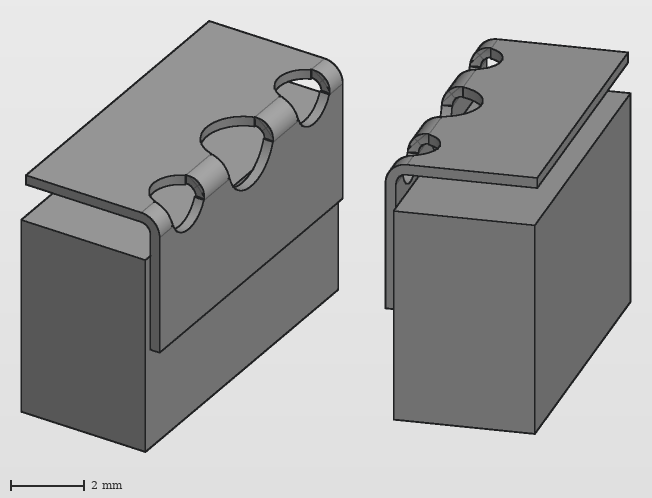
import cadquery as cq

body_depth = 4.0
body_length = 10.0
body_height = 6.15

sheet_top = 7.45
sheet_thickness = 0.3
sheet_width = 9.5
bend_outer_radius = 0.6
leg_height = 4.3

centre_relief_radius = 1.17
side_relief_radius = 0.86
side_relief_offset = 3.25
relief_axis_shift = 0.04

sheet_outer_x = body_depth + sheet_thickness
sheet_underside = sheet_top - sheet_thickness
bend_inner_radius = bend_outer_radius - sheet_thickness


def make_body():
    return cq.Workplane("XY").box(
        body_depth, body_length, body_height, centered=(False, True, False)
    )


def make_sheet():
    """L-shaped strip centred along Y, with concentric inner and outer bend radii."""
    leg_bottom = sheet_top - leg_height
    strip = (
        cq.Workplane("XZ")
        .moveTo(0, sheet_top)
        .lineTo(sheet_outer_x, sheet_top)
        .lineTo(sheet_outer_x, leg_bottom)
        .lineTo(body_depth, leg_bottom)
        .lineTo(body_depth, sheet_underside)
        .lineTo(0, sheet_underside)
        .close()
        .extrude(sheet_width / 2, both=True)
    )
    strip = strip.edges("|Y and >X and >Z").fillet(bend_outer_radius)
    inner_corner = cq.selectors.NearestToPointSelector((body_depth, 0, sheet_underside))
    return strip.edges("|Y").edges(inner_corner).fillet(bend_inner_radius)


def make_relief(y, radius):
    """Two crossing cylinders: one down through the top leg, one through the vertical leg."""
    bend_centre_x = body_depth - bend_inner_radius
    bend_centre_z = sheet_underside - bend_inner_radius
    axis_x = body_depth + relief_axis_shift
    axis_z = sheet_underside + relief_axis_shift
    down = (
        cq.Workplane("XY", origin=(axis_x, y, bend_centre_z))
        .circle(radius)
        .extrude(bend_outer_radius)
    )
    across = (
        cq.Workplane("YZ", origin=(bend_centre_x, y, axis_z))
        .circle(radius)
        .extrude(bend_outer_radius)
    )
    return down.union(across)


sheet = make_sheet()
reliefs = (
    (-side_relief_offset, side_relief_radius),
    (0, centre_relief_radius),
    (side_relief_offset, side_relief_radius),
)
for y, radius in reliefs:
    sheet = sheet.cut(make_relief(y, radius))

result = make_body().union(sheet)